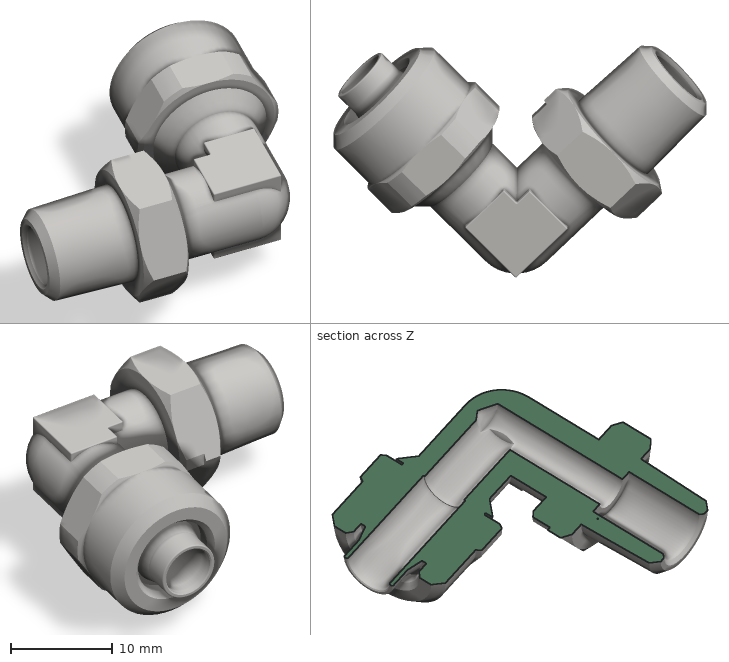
import cadquery as cq
import math


arm_radius = 4.38
collar_radius = 6.03
collar_end = 9.52
pad_reach = 4.5
pad_half_width = 2.7
pad_half_height = 4.5
pad_edge_radius = 0.12

nut_radius = 7.0
nut_corner_radius = 7.5
nut_front = 19.72
nut_front_chamfer = 1.02
nut_hex_start = 13.7
nut_back = 9.7
nut_hex_chamfer = 0.3
nut_mouth_radius = 4.55
nut_hole_radius = 4.02
nut_mouth_depth = 0.6
nut_hole_floor = nut_front - 1.8
neck_radius = 5.1

stem_radius = 3.03
stem_root_radius = 3.5
stem_tip = 22.15
stem_straight_length = 2.52
stem_edge_radius = 0.12
stem_bore_radius = 2.55
stem_mouth_radius = 2.67
stem_bore_end = collar_end

hex_corner_radius = 7.5
hex_start = 8.7
hex_end = 13.5
hex_chamfer = 0.65
notch_depth = 0.4
notch_end = 11.2
thread_tip = 22.5
thread_root_radius = 4.98
thread_taper = 1 / 32
thread_chamfer = 0.8
thread_chamfer_radius = 3.9
outlet_bore_radius = 2.97
outlet_mouth_radius = 3.33
outlet_bore_end = hex_end

inlet_drill_radius = 2.4
outlet_drill_radius = 1.85
drill_tip_angle = 118
tip_length_ratio = 1 / math.tan(math.radians(drill_tip_angle / 2))


def revolve_inlet(points):
    """Solid of revolution about X; points are (distance towards -X, radius)."""
    outline = [(-station, radius) for station, radius in points]
    return cq.Workplane("XY").polyline(outline).close().revolve(360, (0, 0), (1, 0))


def revolve_outlet(points):
    """Solid of revolution about Y; points are (distance towards -Y, radius)."""
    outline = [(radius, -station) for station, radius in points]
    return cq.Workplane("XY").polyline(outline).close().revolve(360, (0, 0), (0, 1))


def chamfer_profile(start, end, face_radius, corner_radius, chamfer):
    """Turned envelope that bevels the corners of a hexagon at both ends."""
    return [
        (start, 0),
        (start, face_radius),
        (start + chamfer, corner_radius),
        (end - chamfer, corner_radius),
        (end, face_radius),
        (end, 0),
    ]


def make_hexagon(plane, offset, inradius, length):
    """Hexagonal prism with two faces square to Z."""
    return (
        cq.Workplane(plane)
        .workplane(offset=offset)
        .polygon(6, 2 * inradius / math.cos(math.pi / 6))
        .extrude(length)
    )


def make_elbow():
    inlet_arm = revolve_inlet([
        (0, 0),
        (0, arm_radius),
        (collar_end - (collar_radius - arm_radius), arm_radius),
        (collar_end, collar_radius),
        (collar_end, 0),
    ])
    outlet_arm = cq.Workplane("XZ").circle(arm_radius).extrude(hex_start)
    corner = cq.Workplane("XY").sphere(arm_radius)
    return inlet_arm.union(outlet_arm).union(corner)


def make_pads():
    """Two flat L-shaped pads, one on each side, as one block through the elbow."""
    outline = [
        (-pad_reach, pad_half_width),
        (pad_half_width, pad_half_width),
        (pad_half_width, -pad_reach),
        (-pad_half_width, -pad_reach),
        (-pad_half_width, -pad_half_width),
        (-pad_reach, -pad_half_width),
    ]
    return (
        cq.Workplane("XY")
        .workplane(offset=-pad_half_height)
        .polyline(outline)
        .close()
        .extrude(2 * pad_half_height)
        .edges()
        .fillet(pad_edge_radius)
    )


def make_nut():
    hexagon = make_hexagon("YZ", -nut_hex_start, nut_radius, nut_hex_start - nut_back)
    envelope = revolve_inlet(
        chamfer_profile(nut_back, nut_hex_start, nut_radius, nut_corner_radius, nut_hex_chamfer)
    )
    sleeve = revolve_inlet([
        (nut_hex_start, 0),
        (nut_hex_start, nut_radius),
        (nut_front - nut_front_chamfer, nut_radius),
        (nut_front, nut_radius - nut_front_chamfer),
        (nut_front, 0),
    ])
    neck = revolve_inlet([
        (collar_end, 0),
        (collar_end, neck_radius),
        (nut_back, neck_radius),
        (nut_back, 0),
    ])
    return hexagon.intersect(envelope).union(sleeve).union(neck)


def make_nut_mouth():
    return revolve_inlet([
        (nut_front, 0),
        (nut_front, nut_mouth_radius),
        (nut_front - nut_mouth_depth, nut_hole_radius),
        (nut_hole_floor, nut_hole_radius),
        (nut_hole_floor, 0),
    ])


def make_stem():
    flare_start = stem_tip - stem_straight_length
    stem = revolve_inlet([
        (nut_hole_floor, 0),
        (nut_hole_floor, stem_root_radius),
        (flare_start, stem_radius),
        (stem_tip, stem_radius),
        (stem_tip, 0),
    ])
    return stem.faces("<X").edges().fillet(stem_edge_radius)


def make_outlet_hexagon():
    inradius = hex_corner_radius * math.cos(math.pi / 6)
    hexagon = make_hexagon("XZ", hex_start, inradius, hex_end - hex_start)
    envelope = revolve_outlet(
        chamfer_profile(hex_start, hex_end, inradius, hex_corner_radius, hex_chamfer)
    )
    notch = (
        cq.Workplane("XY")
        .box(notch_depth, notch_end - hex_start, hex_corner_radius, centered=(False, False, True))
        .translate((-hex_corner_radius, -notch_end, 0))
    )
    return hexagon.intersect(envelope).cut(notch)


def make_thread():
    chamfer_start = thread_tip - thread_chamfer
    chamfer_start_radius = thread_root_radius - thread_taper * (chamfer_start - hex_end)
    return revolve_outlet([
        (hex_end, 0),
        (hex_end, thread_root_radius),
        (chamfer_start, chamfer_start_radius),
        (thread_tip, thread_chamfer_radius),
        (thread_tip, 0),
    ])


def make_outlet_bore():
    """Wide thread bore with a bevelled mouth, then a drilling with a pointed end."""
    mouth_depth = outlet_mouth_radius - outlet_bore_radius
    return revolve_outlet([
        (thread_tip, 0),
        (thread_tip, outlet_mouth_radius),
        (thread_tip - mouth_depth, outlet_bore_radius),
        (outlet_bore_end, outlet_bore_radius),
        (outlet_bore_end, outlet_drill_radius),
        (-outlet_drill_radius, outlet_drill_radius),
        (-outlet_drill_radius - outlet_drill_radius * tip_length_ratio, 0),
    ])


def make_inlet_bore():
    """Stem bore with a bevelled mouth, then a drilling to the outlet axis with a pointed end."""
    mouth_depth = stem_mouth_radius - stem_bore_radius
    return revolve_inlet([
        (stem_tip, 0),
        (stem_tip, stem_mouth_radius),
        (stem_tip - mouth_depth, stem_bore_radius),
        (stem_bore_end, stem_bore_radius),
        (stem_bore_end, inlet_drill_radius),
        (0, inlet_drill_radius),
        (-inlet_drill_radius * tip_length_ratio, 0),
    ])


outside = make_elbow().union(make_pads()).union(make_nut())
outside = outside.cut(make_nut_mouth()).union(make_stem())
outside = outside.union(make_outlet_hexagon()).union(make_thread())
result = outside.cut(make_outlet_bore()).cut(make_inlet_bore())